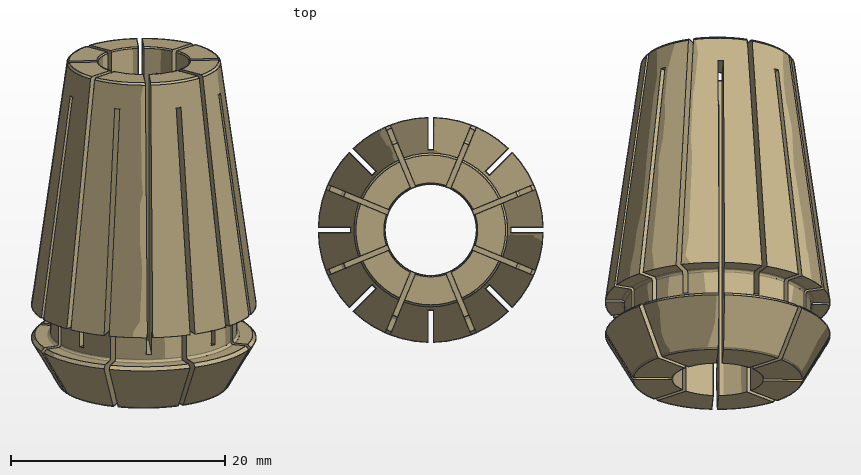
import cadquery as cq
import math

length = 31.5
outer_diameter = 20.98
bore_diameter = 8.5
bore_chamfer = 0.13

body_bottom = 7.7
body_half_angle = 8.0
top_chamfer_width = 0.2
top_chamfer_height = 0.2

neck_diameter = 17.4
neck_fillet = 0.25

collar_top = 4.75
collar_half_angle = 30.0
collar_rim_chamfer = 0.3
collar_bottom_chamfer = 0.13

slit_width = 0.5
slits_per_end = 8
lower_slit_top = 28.98
upper_slit_bottom = 5.5

outer_radius = outer_diameter / 2
bore_radius = bore_diameter / 2
neck_radius = neck_diameter / 2


def revolved_blank():
    """Collet without slits, turned about the Z axis."""
    body_slope = math.tan(math.radians(body_half_angle))
    shoulder_height = length - top_chamfer_height
    shoulder_radius = outer_radius - (shoulder_height - body_bottom) * body_slope

    collar_slope = math.tan(math.radians(collar_half_angle))
    rim_height = collar_top - collar_rim_chamfer
    foot_radius = outer_radius - (rim_height - collar_bottom_chamfer) * collar_slope

    profile = (
        cq.Workplane("XZ")
        .moveTo(bore_radius, 0)
        .lineTo(foot_radius - collar_bottom_chamfer, 0)
        .lineTo(foot_radius, collar_bottom_chamfer)
        .lineTo(outer_radius, rim_height)
        .lineTo(outer_radius - collar_rim_chamfer, collar_top)
        .lineTo(neck_radius + neck_fillet, collar_top)
        .radiusArc((neck_radius, collar_top + neck_fillet), neck_fillet)
        .lineTo(neck_radius, body_bottom - neck_fillet)
        .radiusArc((neck_radius + neck_fillet, body_bottom), neck_fillet)
        .lineTo(outer_radius, body_bottom)
        .lineTo(shoulder_radius, shoulder_height)
        .lineTo(shoulder_radius - top_chamfer_width, length)
        .lineTo(bore_radius + bore_chamfer, length)
        .lineTo(bore_radius, length - bore_chamfer)
        .close()
    )
    return profile.revolve(360, (0, 0, 0), (0, 1, 0))


def slit_cutter(bottom, top, first_angle):
    """Evenly spaced radial slits between two heights."""
    cutter = cq.Workplane("XY")
    slits_across = slits_per_end // 2
    for index in range(slits_across):
        angle = first_angle + index * 180 / slits_across
        blade = (
            cq.Workplane("XY", origin=(0, 0, bottom))
            .rect(outer_diameter + slit_width, slit_width)
            .extrude(top - bottom)
            .rotate((0, 0, 0), (0, 0, 1), angle)
        )
        cutter = cutter.add(blade)
    return cutter.combine()


slit_pitch = 360 / slits_per_end
lower_slits = slit_cutter(0, lower_slit_top, 0)
upper_slits = slit_cutter(upper_slit_bottom, length, slit_pitch / 2)

result = revolved_blank().cut(lower_slits).cut(upper_slits)